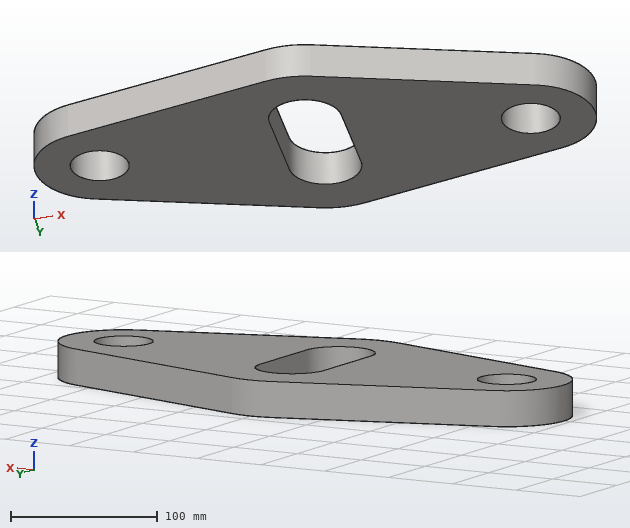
import cadquery as cq
import math

length = 389.5
width = 178.0
thickness = 25.0
end_radius = 45.0
middle_radius = 55.0
hole_diameter = 40.0
slot_width = 50.0
slot_length = 114.0

end_centre = length / 2 - end_radius
middle_centre = width / 2 - middle_radius

centre_distance = math.hypot(end_centre, middle_centre)
normal_angle = math.atan2(middle_centre, -end_centre) - math.acos(
    (end_radius - middle_radius) / centre_distance
)
normal_x = math.cos(normal_angle)
normal_y = math.sin(normal_angle)

end_x = end_centre + end_radius * normal_x
end_y = end_radius * normal_y
middle_x = middle_radius * normal_x
middle_y = middle_centre + middle_radius * normal_y

plate = (
    cq.Workplane("XY")
    .moveTo(end_x, -end_y)
    .threePointArc((length / 2, 0), (end_x, end_y))
    .lineTo(middle_x, middle_y)
    .threePointArc((0, width / 2), (-middle_x, middle_y))
    .lineTo(-end_x, end_y)
    .threePointArc((-length / 2, 0), (-end_x, -end_y))
    .lineTo(-middle_x, -middle_y)
    .threePointArc((0, -width / 2), (middle_x, -middle_y))
    .close()
    .extrude(thickness)
)

bolt_holes = (
    cq.Workplane("XY")
    .pushPoints([(-end_centre, 0), (end_centre, 0)])
    .circle(hole_diameter / 2)
    .extrude(thickness)
)

slot = cq.Workplane("XY").slot2D(slot_length, slot_width, 90).extrude(thickness)

result = plate.cut(bolt_holes).cut(slot)